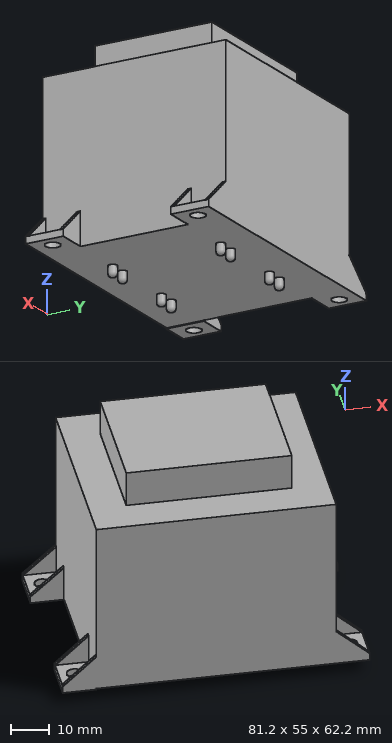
import cadquery as cq

overall_length = 81.2
body_length = 63.5
body_width = 55.05
body_height = 49.05
cap_length = 43.8
cap_width = 35.2
cap_height = 10.0

foot_length = (overall_length - body_length) / 2
foot_width = 11.4
foot_thickness = 2.0
rib_thickness = 1.0
rib_top = 9.8
hole_diameter = 4.2
hole_edge_distance = 4.3
low_foot_drop = 0.25

pin_diameter = 2.5
pin_length = 3.2
pin_tip_radius = 1.05
pin_columns = (10.0, 15.0)
pin_row = 16.2


def make_foot(side_x, side_y, drop):
    """Foot plate with a screw hole and two sloping ribs, at one body corner."""
    inner_x = side_x * body_length / 2
    outer_x = side_x * overall_length / 2
    center_x = (inner_x + outer_x) / 2
    center_y = side_y * (body_width - foot_width) / 2
    hole_x = outer_x - side_x * hole_edge_distance
    plate_top = foot_thickness - drop

    foot = (
        cq.Workplane("XY", origin=(center_x, center_y, -drop))
        .rect(foot_length, foot_width)
        .extrude(foot_thickness)
    )
    hole = (
        cq.Workplane("XY", origin=(hole_x, center_y, -drop))
        .circle(hole_diameter / 2)
        .extrude(foot_thickness)
    )
    foot = foot.cut(hole)

    rib_offset = (foot_width - rib_thickness) / 2
    for rib_y in (center_y - rib_offset, center_y + rib_offset):
        rib = (
            cq.Workplane("XZ", origin=(0, rib_y, 0))
            .polyline([(inner_x, plate_top), (outer_x, plate_top), (inner_x, rib_top)])
            .close()
            .extrude(rib_thickness / 2, both=True)
        )
        foot = foot.union(rib)
    return foot


def make_pin(x, y):
    """Round pin below the body with a rounded tip."""
    return (
        cq.Workplane("XY", origin=(x, y, 0))
        .circle(pin_diameter / 2)
        .extrude(-pin_length)
        .faces("<Z")
        .edges()
        .fillet(pin_tip_radius)
    )


body = cq.Workplane("XY").box(body_length, body_width, body_height, centered=(True, True, False))
cap = (
    cq.Workplane("XY", origin=(0, 0, body_height))
    .rect(cap_length, cap_width)
    .extrude(cap_height)
)
result = body.union(cap)

for side_x in (-1, 1):
    for side_y in (-1, 1):
        is_low_foot = side_x < 0 and side_y < 0
        drop = low_foot_drop if is_low_foot else 0
        result = result.union(make_foot(side_x, side_y, drop))
        for column in pin_columns:
            result = result.union(make_pin(side_x * column, side_y * pin_row))